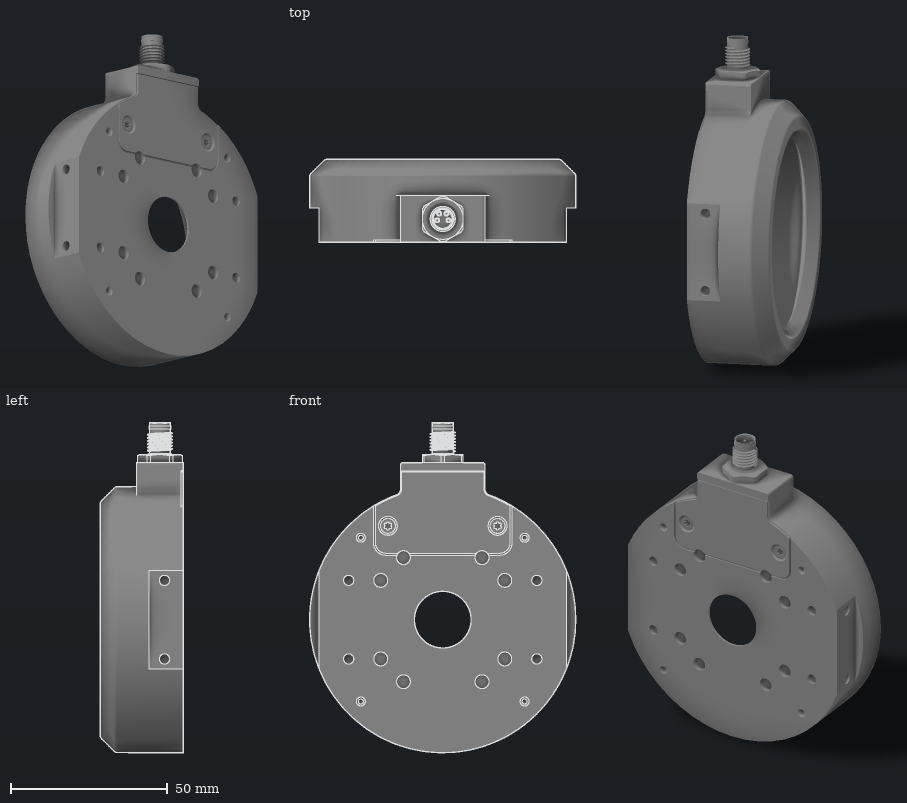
import cadquery as cq
import math

total_height = 105.3

disc_diameter = 85.0
disc_depth = 26.5
back_chamfer = 5.0
back_blend_radius = 1.3

bore_diameter = 18.0
bore_lip_depth = 0.6
hub_bore_diameter = 40.2
cavity_floor_y = 8.4
cavity_diameter = 75.8
back_wall_slope = 22.5
back_opening_diameter = 60.4
back_opening_inner_chamfer = 0.5
back_opening_flare = 3.5

flat_spacing = 79.0
flat_depth = 11.0
flat_hole_y = 6.0

block_width = 27.0
block_depth = 15.0
block_top = 50.1
block_edge_radius = 0.7
shoulder_radius = 2.0

pocket_width = 44.2
pocket_bottom = 20.5
pocket_top = 47.5
pocket_depth = 0.7
pocket_corner_radius = 4.0
cover_rim_gap = 0.3
cover_side_gap = 0.6

screw_x = 17.5
screw_z = 29.9
screw_rim_diameter = 6.0
screw_head_diameter = 4.7
screw_head_depth = 0.6
socket_lobes = 6
socket_core_diameter = 1.8
socket_lobe_diameter = 0.8
socket_depth = 1.1

hole_half_pitch = 12.5
tapped_hole_x = 30.0
tapped_hole_diameter = 3.3
tapped_hole_depth = 4.2
pin_hole_offset = 19.8
pin_hole_diameter = 4.4
pin_hole_depth = 1.8
small_hole_offset = 26.1
small_hole_diameter = 1.6
small_hole_sink_diameter = 2.8
small_hole_depth = 3.2
drill_tip_angle = 118.0

hex_across_flats = 13.1
hex_corner_diameter = 14.4
hex_top = 52.6
hex_chamfer_height = 0.3
stem_diameter = 6.7
bead_diameter = 7.0
bead_bottom = 60.9
bead_height = 0.8
collar_height = 0.4
thread_diameter = 8.0
thread_crest_width = 0.13
thread_root_width = 0.8
thread_pitch = 1.0
thread_start = 53.7
thread_turns = 6
stem_mouth_diameter = 6.5
stem_bore_diameter = 6.0
stem_bore_depth = 4.2
contact_diameter = 1.0
contact_foot_diameter = 1.6
contact_foot_length = 1.1
contact_length = 2.6
contact_tip_radius = 0.4
contact_centers = [(-1.8, -0.4), (-1.2, 1.7), (1.2, 1.7), (1.8, -0.4)]

disc_radius = disc_diameter / 2
stem_top = total_height - disc_radius
connector_y = block_depth / 2
overlap = 0.2


def face_plane():
    """Workplane on the mounting face; a negative extrusion goes into the part."""
    return cq.Workplane("XZ")


def connector_plane(z):
    """Horizontal workplane at height z, centred on the connector axis."""
    return cq.Workplane("XY", origin=(0, connector_y, z))


def turned_about_y(points):
    return cq.Workplane("XY").polyline(points).close().revolve(360, (0, 0, 0), (0, 1, 0))


def four_corners(x, z):
    return [(side * x, level * z) for side in (-1, 1) for level in (-1, 1)]


def drill(diameter, depth, sink_diameter=None):
    """Drill shape along +Y from the origin: pointed end, optional 45 degree countersink."""
    radius = diameter / 2
    tip = radius / math.tan(math.radians(drill_tip_angle / 2))
    entry = [(radius, 0)]
    if sink_diameter:
        sink_radius = sink_diameter / 2
        entry = [(sink_radius, 0), (radius, sink_radius - radius)]
    return turned_about_y([(0, 0), *entry, (radius, depth), (0, depth + tip)])


def rim_block(inset, depth):
    """Connector block with its shoulder fillets, reaching down to the disc centre.

    `inset` draws the whole outline in by that distance.
    """
    radius = disc_radius - inset
    half_width = block_width / 2 - inset
    top = block_top - inset
    fillet = shoulder_radius + inset
    fillet_x = half_width + fillet
    fillet_z = math.sqrt((radius + fillet) ** 2 - fillet_x**2)
    contact_x = fillet_x * radius / (radius + fillet)
    contact_z = fillet_z * radius / (radius + fillet)
    return (
        face_plane()
        .moveTo(0, 0)
        .lineTo(contact_x, contact_z)
        .radiusArc((half_width, fillet_z), fillet)
        .lineTo(half_width, top)
        .lineTo(-half_width, top)
        .lineTo(-half_width, fillet_z)
        .radiusArc((-contact_x, contact_z), fillet)
        .close()
        .extrude(-depth)
    )


def disc_shell():
    disc = face_plane().circle(disc_radius).extrude(-disc_depth)
    disc = disc.faces(">Y").chamfer(back_chamfer)
    chamfer_zone = cq.selectors.BoxSelector(
        (-disc_diameter, disc_depth - 2 * back_chamfer, -disc_diameter),
        (disc_diameter, 2 * disc_depth, disc_diameter),
        boundingbox=True,
    )
    return disc.edges(chamfer_zone).edges("%CIRCLE").fillet(back_blend_radius)


def disc_cavity():
    """Turned hollow: thin bore lip, hub bore, wide chamber and flared back opening."""
    bore_radius = bore_diameter / 2
    hub_radius = hub_bore_diameter / 2
    cavity_radius = cavity_diameter / 2
    opening_radius = back_opening_diameter / 2
    opening_y = disc_depth - back_opening_flare
    wall_edge_radius = opening_radius + back_opening_inner_chamfer
    wall_edge_y = opening_y - back_opening_inner_chamfer
    wall_rise = (cavity_radius - wall_edge_radius) * math.tan(math.radians(back_wall_slope))
    return turned_about_y(
        [
            (0, 0),
            (bore_radius, 0),
            (bore_radius, bore_lip_depth),
            (hub_radius, bore_lip_depth),
            (hub_radius, cavity_floor_y),
            (cavity_radius, cavity_floor_y),
            (cavity_radius, wall_edge_y - wall_rise),
            (wall_edge_radius, wall_edge_y),
            (opening_radius, opening_y),
            (opening_radius + back_opening_flare, disc_depth),
            (0, disc_depth),
        ]
    )


def side_flat(side):
    """Cutter for one flat and its two drilled holes; side is -1 or +1 along X."""
    flat_x = flat_spacing / 2
    cutter = (
        cq.Workplane("XY")
        .box(disc_radius, flat_depth, disc_diameter, centered=(False, False, True))
        .translate((flat_x, 0, 0))
    )
    hole = drill(tapped_hole_diameter, tapped_hole_depth).rotate((0, 0, 0), (0, 0, 1), 90)
    for z in (-hole_half_pitch, hole_half_pitch):
        cutter = cutter.union(hole.translate((flat_x, flat_hole_y, z)))
    return cutter if side > 0 else cutter.mirror("YZ")


def cover_panel(gap, top):
    """Rectangular panel with rounded lower corners, narrowed by `gap` at sides and bottom."""
    bottom = pocket_bottom + gap
    height = top - bottom
    return (
        face_plane()
        .center(0, bottom + height / 2)
        .rect(pocket_width - 2 * gap, height)
        .extrude(-pocket_depth)
        .edges("|Y and <Z")
        .fillet(pocket_corner_radius - gap)
    )


def cover_groove():
    """Gap left between the pocket and the cover plate."""
    inset_outline = (
        face_plane()
        .circle(disc_radius - cover_rim_gap)
        .extrude(-pocket_depth)
        .union(rim_block(cover_rim_gap, pocket_depth))
    )
    cover = cover_panel(cover_side_gap, pocket_top - cover_rim_gap).intersect(inset_outline)
    return cover_panel(0, pocket_top).cut(cover)


def screw_recess():
    rim = turned_about_y(
        [
            (0, 0),
            (screw_rim_diameter / 2, 0),
            (screw_head_diameter / 2, screw_head_depth),
            (0, screw_head_depth),
        ]
    )
    core_radius = socket_core_diameter / 2
    full_depth = screw_head_depth + socket_depth
    core = face_plane().circle(core_radius).extrude(-full_depth)
    lobes = (
        face_plane()
        .polarArray(core_radius, 90, 360, socket_lobes)
        .circle(socket_lobe_diameter / 2)
        .extrude(-full_depth)
    )
    return rim.union(core).union(lobes)


def hex_nut():
    bottom = block_top - overlap
    height = hex_top - bottom
    chamfer_width = (hex_corner_diameter - hex_across_flats) / 2
    envelope = (
        connector_plane(bottom)
        .circle(hex_corner_diameter / 2)
        .extrude(height)
        .faces(">Z")
        .chamfer(hex_chamfer_height, chamfer_width)
    )
    prism = connector_plane(bottom).polygon(6, hex_across_flats, circumscribed=True).extrude(height)
    return prism.intersect(envelope)


def thread():
    root_radius = stem_diameter / 2
    helix = cq.Wire.makeHelix(thread_pitch, thread_turns * thread_pitch, root_radius)
    tooth = [
        (root_radius - overlap, -thread_root_width / 2),
        (thread_diameter / 2, -thread_crest_width / 2),
        (thread_diameter / 2, thread_crest_width / 2),
        (root_radius - overlap, thread_root_width / 2),
    ]
    ridge = cq.Workplane("XZ").polyline(tooth).close().sweep(cq.Workplane(obj=helix), isFrenet=True)
    return ridge.translate((0, connector_y, thread_start))


def connector_stem():
    """Threaded hollow stem with its foot collar, bead and four stepped contacts."""
    stem_foot = hex_top - overlap
    stem = connector_plane(stem_foot).circle(stem_diameter / 2).extrude(stem_top - stem_foot)
    collar = (
        connector_plane(hex_top)
        .circle(thread_diameter / 2)
        .workplane(offset=collar_height)
        .circle(stem_diameter / 2)
        .loft()
    )
    bead = connector_plane(bead_bottom).circle(bead_diameter / 2).extrude(bead_height)
    bore_floor = stem_top - stem_bore_depth
    mouth_chamfer = (stem_mouth_diameter - stem_bore_diameter) / 2
    bore = connector_plane(bore_floor).circle(stem_bore_diameter / 2).extrude(stem_bore_depth)
    mouth = (
        connector_plane(stem_top - mouth_chamfer)
        .circle(stem_bore_diameter / 2)
        .workplane(offset=mouth_chamfer)
        .circle(stem_mouth_diameter / 2)
        .loft()
    )
    contacts = (
        connector_plane(bore_floor - overlap)
        .pushPoints(contact_centers)
        .circle(contact_diameter / 2)
        .extrude(contact_length + overlap)
        .faces(">Z")
        .edges()
        .fillet(contact_tip_radius)
    )
    contact_feet = (
        connector_plane(bore_floor - overlap)
        .pushPoints(contact_centers)
        .circle(contact_foot_diameter / 2)
        .extrude(contact_foot_length + overlap)
    )
    stem = stem.union(collar).union(bead).union(thread()).cut(bore).cut(mouth)
    return stem.union(contact_feet).union(contacts)


block = rim_block(0, block_depth).edges("|Y and >Z").fillet(block_edge_radius)
body = disc_shell().union(block).cut(disc_cavity())
for side in (-1, 1):
    body = body.cut(side_flat(side))

body = body.cut(cover_groove())
for x in (-screw_x, screw_x):
    body = body.cut(screw_recess().translate((x, 0, screw_z)))

tapped_hole = drill(tapped_hole_diameter, tapped_hole_depth)
for x, z in four_corners(tapped_hole_x, hole_half_pitch):
    body = body.cut(tapped_hole.translate((x, 0, z)))

small_hole = drill(small_hole_diameter, small_hole_depth, small_hole_sink_diameter)
for x, z in four_corners(small_hole_offset, small_hole_offset):
    body = body.cut(small_hole.translate((x, 0, z)))

pin_hole_centers = four_corners(pin_hole_offset, hole_half_pitch)
pin_hole_centers += four_corners(hole_half_pitch, pin_hole_offset)
pin_holes = face_plane().pushPoints(pin_hole_centers).circle(pin_hole_diameter / 2)
body = body.cut(pin_holes.extrude(-pin_hole_depth))

result = body.union(hex_nut()).union(connector_stem())